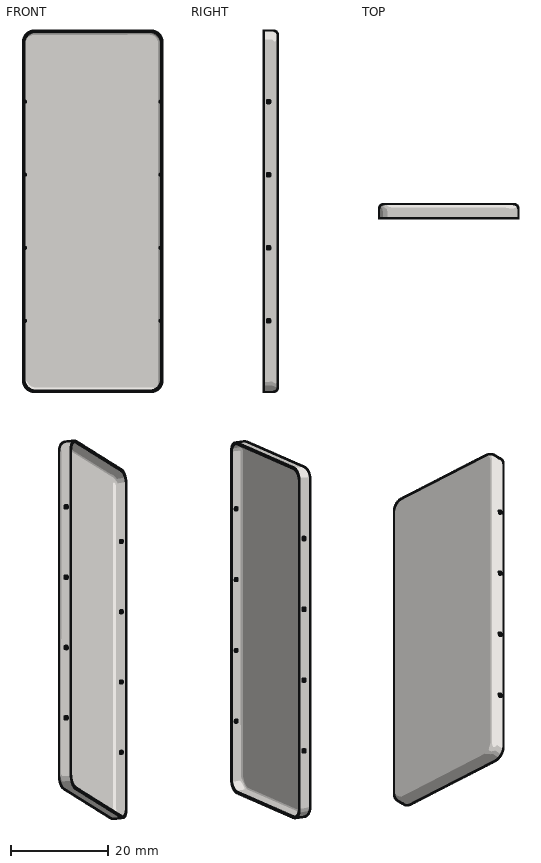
import cadquery as cq

width = 28.7
depth = 3.0
height = 74.3

wall = 0.3
corner_radius = 2.5
outer_edge_radius = 1.05
inner_edge_radius = 0.8

hollow_radius = 0.4
hollow_depth = 0.4
nub_radius = 0.6
nub_depth = 0.6
tip_radius = 0.1
dimple_pitch = 15.0
dimple_count = 4
dimple_inset = 1.05


def rounded_block(size_x, size_y, size_z, vertical_radius, floor_radius):
    """Block standing on the rim plane, with rounded corners and a rounded floor edge."""
    block = cq.Workplane("XY").box(size_x, size_y, size_z, centered=(True, False, True))
    return block.edges("|Y").fillet(vertical_radius).faces(">Y").edges().fillet(floor_radius)


def side_cones(base_radius, length):
    """Blunt cones pointing inwards from the outer faces of both long side walls."""
    first_z = -dimple_pitch * (dimple_count - 1) / 2
    cones = cq.Workplane("XY")
    for side in (-1, 1):
        for i in range(dimple_count):
            base = cq.Vector(side * width / 2, dimple_inset, first_z + i * dimple_pitch)
            inwards = cq.Vector(-side, 0, 0)
            cones = cones.add(cq.Solid.makeCone(base_radius, tip_radius, length, base, inwards))
    return cones.combine()


outer = rounded_block(width, depth, height, corner_radius, outer_edge_radius)
cavity = rounded_block(
    width - 2 * wall,
    depth - wall,
    height - 2 * wall,
    corner_radius - wall,
    inner_edge_radius,
)
shell = outer.cut(cavity)
result = shell.union(side_cones(nub_radius, nub_depth)).cut(side_cones(hollow_radius, hollow_depth))